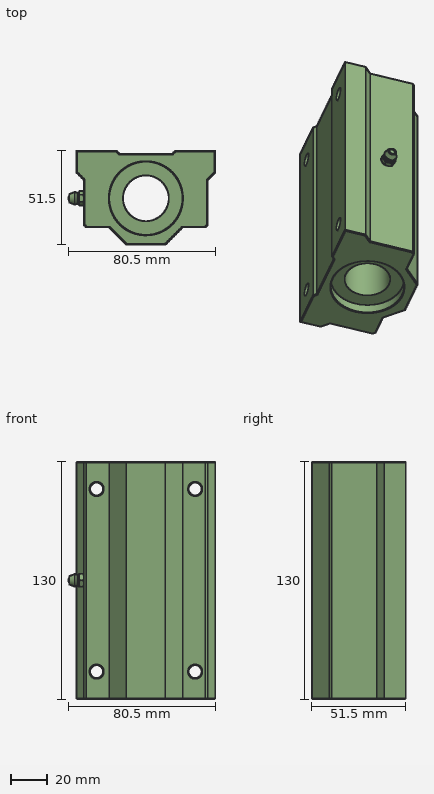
import cadquery as cq
import math


LENGTH = 130.0
FLANGE_WIDTH = 76.0
BODY_WIDTH = 67.9
DEPTH = 51.5
MOUNT_Y = 26.0
FLANGE_THICKNESS = 12.0
BODY_DEPTH = 42.0
CORNER_CHAMFER = 1.3
NOSE_WIDTH = 21.3
RELIEF_WIDTH = 32.0
RELIEF_DEPTH = 1.5
END_CHAMFER = 0.5

BOLT_PITCH_X = 54.0
BOLT_PITCH_Z = 100.0
BOLT_DIAMETER = 7.0
BOLT_MOUTH_DIAMETER = 7.9

SLEEVE_DIAMETER = 40.0
SHAFT_DIAMETER = 25.0
SLEEVE_RECESS = 6.0
BORE_CHAMFER = 0.4

HEX_ACROSS_FLATS = 7.0
HEX_HEIGHT = 2.7
HEX_BEVEL_DEPTH = 0.6
HEX_BEVEL_HEIGHT = 0.4
NECK_RADIUS = 2.9
HEAD_START = 3.5
HEAD_BACK_RADIUS = 3.1
HEAD_PEAK = 5.1
HEAD_PEAK_RADIUS = 3.5
HEAD_END = 8.0
HEAD_FRONT_RADIUS = 2.3
TIP_RADIUS = 1.5
OVERALL_WIDTH = 80.5
NIPPLE_LENGTH = OVERALL_WIDTH - FLANGE_WIDTH / 2 - BODY_WIDTH / 2


def make_block():
    """Housing outline extruded along Z, with both ends chamfered all round."""
    front_y = MOUNT_Y - DEPTH
    shoulder_y = MOUNT_Y - BODY_DEPTH
    flange_y = MOUNT_Y - FLANGE_THICKNESS
    flange_x = FLANGE_WIDTH / 2
    body_x = BODY_WIDTH / 2
    nose_x = NOSE_WIDTH / 2
    relief_x = RELIEF_WIDTH / 2
    right_side = [
        (nose_x, front_y),
        (nose_x + shoulder_y - front_y, shoulder_y),
        (body_x - CORNER_CHAMFER, shoulder_y),
        (body_x, shoulder_y + CORNER_CHAMFER),
        (body_x, flange_y - (flange_x - body_x)),
        (flange_x, flange_y),
        (flange_x, MOUNT_Y),
        (relief_x, MOUNT_Y),
        (relief_x - RELIEF_DEPTH, MOUNT_Y - RELIEF_DEPTH),
    ]
    left_side = [(-x, y) for x, y in reversed(right_side)]
    block = (
        cq.Workplane("XY")
        .workplane(offset=-LENGTH / 2)
        .polyline(right_side + left_side)
        .close()
        .extrude(LENGTH)
    )
    return block.faces("<Z or >Z").chamfer(END_CHAMFER)


def make_bolt_hole(x, z):
    """Cutter for one bolt hole along Y, with a countersunk mouth on the front shoulder."""
    radius = BOLT_DIAMETER / 2
    mouth_radius = BOLT_MOUTH_DIAMETER / 2
    mouth_y = MOUNT_Y - BODY_DEPTH
    along_y = cq.Vector(0, 1, 0)
    mouth_center = cq.Vector(x, mouth_y, z)
    drill = cq.Solid.makeCylinder(radius, BODY_DEPTH, mouth_center, along_y)
    mouth = cq.Solid.makeCone(mouth_radius, radius, mouth_radius - radius, mouth_center, along_y)
    return drill.fuse(mouth)


def make_housing():
    housing = make_block()
    housing = housing.cut(cq.Workplane("XY").circle(SLEEVE_DIAMETER / 2).extrude(LENGTH / 2, both=True))
    housing = housing.edges("%CIRCLE").chamfer(BORE_CHAMFER)
    for x in (-BOLT_PITCH_X / 2, BOLT_PITCH_X / 2):
        for z in (-BOLT_PITCH_Z / 2, BOLT_PITCH_Z / 2):
            housing = housing.cut(cq.Workplane(make_bolt_hole(x, z)))
    return housing


def make_sleeve():
    half_length = LENGTH / 2 - SLEEVE_RECESS
    return (
        cq.Workplane("XY")
        .circle(SLEEVE_DIAMETER / 2)
        .circle(SHAFT_DIAMETER / 2)
        .extrude(half_length, both=True)
    )


def revolve_along_minus_x(half_outline):
    """Turned solid standing out from the -X side; the outline's X runs outward, its Y is the radius."""
    solid = half_outline.revolve(360, (0, 0, 0), (1, 0, 0))
    return solid.rotate((0, 0, 0), (0, 0, 1), 180).translate((-BODY_WIDTH / 2, 0, 0))


def make_nipple():
    """Grease nipple along -X: a hexagon with bevelled corners, then a turned neck and head."""
    side = cq.Workplane("YZ", origin=(-BODY_WIDTH / 2, 0, 0))
    corner_radius = HEX_ACROSS_FLATS / 2 / math.cos(math.pi / 6)
    hexagon = side.polygon(6, 2 * corner_radius).extrude(-HEX_HEIGHT)
    end_radius = corner_radius - HEX_BEVEL_DEPTH
    bevelled_barrel = (
        cq.Workplane("XY")
        .moveTo(0, 0)
        .lineTo(0, end_radius)
        .lineTo(HEX_BEVEL_HEIGHT, corner_radius)
        .lineTo(HEX_HEIGHT - HEX_BEVEL_HEIGHT, corner_radius)
        .lineTo(HEX_HEIGHT, end_radius)
        .lineTo(HEX_HEIGHT, 0)
        .close()
    )
    hexagon = hexagon.intersect(revolve_along_minus_x(bevelled_barrel))

    tip_height = NIPPLE_LENGTH - HEAD_END
    tip_sphere_radius = (TIP_RADIUS**2 + tip_height**2) / (2 * tip_height)
    head = (
        cq.Workplane("XY")
        .moveTo(HEX_HEIGHT, 0)
        .lineTo(HEX_HEIGHT, NECK_RADIUS)
        .lineTo(HEAD_START, NECK_RADIUS)
        .lineTo(HEAD_START, HEAD_BACK_RADIUS)
        .lineTo(HEAD_PEAK, HEAD_PEAK_RADIUS)
        .lineTo(HEAD_END, HEAD_FRONT_RADIUS)
        .lineTo(HEAD_END, TIP_RADIUS)
        .radiusArc((NIPPLE_LENGTH, 0), tip_sphere_radius)
        .close()
    )
    return hexagon.union(revolve_along_minus_x(head))


housing = make_housing()
sleeve = make_sleeve()
nipple = make_nipple()

result = cq.Compound.makeCompound([housing.val(), sleeve.val(), nipple.val()])